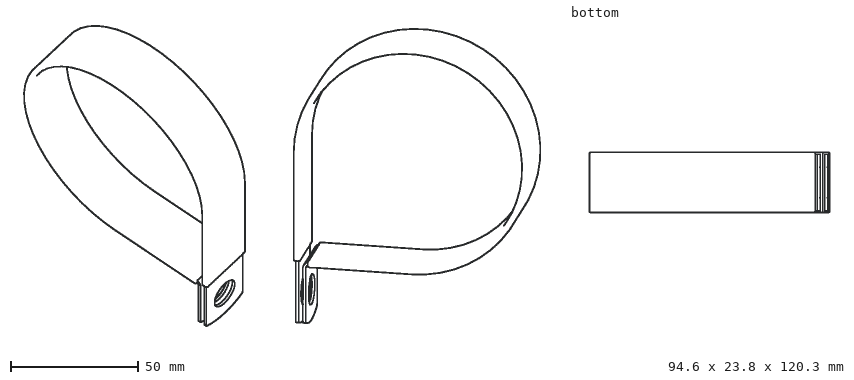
import cadquery as cq
import math

total_height = 120.3
loop_radius = 47.3
liner_width = 23.8

strip_thickness = 1.2
liner_thickness = 0.78
strip_width = liner_width - 2 * liner_thickness
liner_edge_radius = 0.7

lower_liner_end_x = 41.6
side_liner_end_z = -45.0

lower_tab_outer_x = 43.5
bend_inner_radius = 1.2
tab_tip_sagitta = 2.5
hole_diameter = 12.1
hole_height = 12.6

bottom_z = loop_radius - total_height
strip_outer_radius = loop_radius - liner_thickness
strip_inner_radius = strip_outer_radius - strip_thickness
liner_inner_radius = strip_inner_radius - liner_thickness


def centred_extrusion(outline, width):
    """Extrude an XZ outline symmetrically about the Y = 0 plane."""
    return outline.extrude(width / 2, both=True)


def make_liner():
    """Three-quarter loop with two tangent legs and rounded edges."""
    diagonal = math.sqrt(0.5)
    outline = (
        cq.Workplane("XZ")
        .moveTo(loop_radius, side_liner_end_z)
        .lineTo(loop_radius, 0)
        .threePointArc((-loop_radius * diagonal, loop_radius * diagonal), (0, -loop_radius))
        .lineTo(lower_liner_end_x, -loop_radius)
        .lineTo(lower_liner_end_x, -liner_inner_radius)
        .lineTo(0, -liner_inner_radius)
        .threePointArc(
            (-liner_inner_radius * diagonal, liner_inner_radius * diagonal),
            (liner_inner_radius, 0),
        )
        .lineTo(liner_inner_radius, side_liner_end_z)
        .close()
    )
    liner = centred_extrusion(outline, liner_width)
    long_edges_and_ends = liner.faces("<Y or >Y").edges()
    end_edges = liner.edges(cq.selectors.BoxSelector(
        (lower_liner_end_x - liner_edge_radius, -liner_width, -2 * loop_radius),
        (2 * loop_radius, liner_width, side_liner_end_z + liner_edge_radius),
    ))
    return long_edges_and_ends.add(end_edges).fillet(liner_edge_radius)


def make_lower_tab():
    """Strip leaving the lower leg and bending down into a tab."""
    bend_outer_radius = bend_inner_radius + strip_thickness
    bend_x = lower_tab_outer_x - bend_outer_radius
    bend_z = -strip_inner_radius - bend_outer_radius
    start_x = lower_liner_end_x - 2 * strip_thickness
    tab_inner_x = lower_tab_outer_x - strip_thickness
    outline = (
        cq.Workplane("XZ")
        .moveTo(start_x, -strip_inner_radius)
        .lineTo(bend_x, -strip_inner_radius)
        .tangentArcPoint((lower_tab_outer_x, bend_z), relative=False)
        .lineTo(lower_tab_outer_x, bottom_z)
        .lineTo(tab_inner_x, bottom_z)
        .lineTo(tab_inner_x, bend_z)
        .tangentArcPoint((bend_x, -strip_outer_radius), relative=False)
        .lineTo(start_x, -strip_outer_radius)
        .close()
    )
    return centred_extrusion(outline, strip_width)


def make_side_tab():
    """Straight strip continuing down from the vertical leg."""
    start_z = side_liner_end_z + 2 * strip_thickness
    outline = (
        cq.Workplane("XZ")
        .moveTo(strip_inner_radius, bottom_z)
        .lineTo(strip_outer_radius, bottom_z)
        .lineTo(strip_outer_radius, start_z)
        .lineTo(strip_inner_radius, start_z)
        .close()
    )
    return centred_extrusion(outline, strip_width)


def make_tab_envelope():
    """Shape along X that rounds the tab tips and leaves the bolt hole open."""
    half_width = strip_width / 2
    tip_z = bottom_z + tab_tip_sagitta
    envelope = (
        cq.Workplane("YZ")
        .moveTo(-half_width, 0)
        .lineTo(-half_width, tip_z)
        .threePointArc((0, bottom_z), (half_width, tip_z))
        .lineTo(half_width, 0)
        .close()
        .extrude(loop_radius)
    )
    hole = (
        cq.Workplane("YZ")
        .center(0, bottom_z + hole_height)
        .circle(hole_diameter / 2)
        .extrude(loop_radius)
    )
    return envelope.cut(hole)


tab_envelope = make_tab_envelope()
side_tab = make_side_tab().intersect(tab_envelope)
lower_tab = make_lower_tab().intersect(tab_envelope)
result = make_liner().union(side_tab).union(lower_tab)